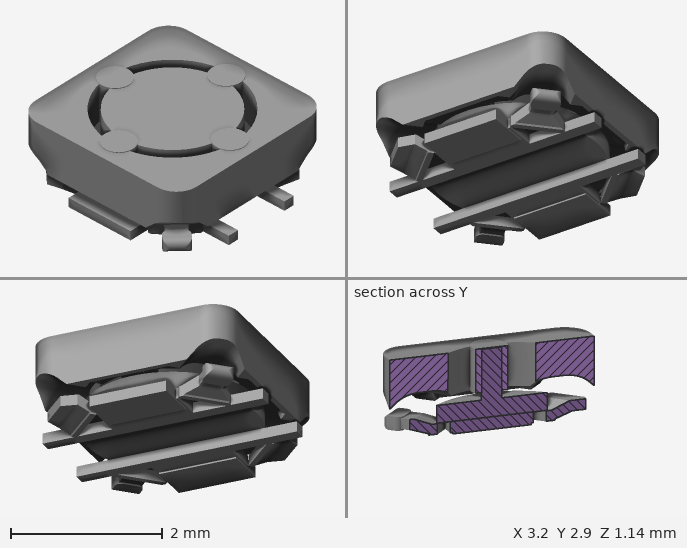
import cadquery as cq
import math

total_height = 1.14
cap_thickness = 0.01
body_top = total_height - cap_thickness
shield_bottom = 0.378
flange_top = 0.425
lead_thickness = 0.15
plate_bottom = 0.022
plate_top = plate_bottom + lead_thickness
arm_rise = 0.102

shield_width = 2.9
shield_corner_radius = 0.36
bore_radius = 1.12
pocket_ceiling = 0.525
pocket_sides = 8
pocket_flat_distance = 1.37

notch_half_width = 0.41
notch_top = 0.627
corner_angles = (45, 135, 225, 315)
notch_slope = math.radians(52)
notch_fillet_start = 0.505

core_radius = 0.947
flange_radius = 1.222

dot_radius = 0.253
dot_distance = 1.037
dot_angles = (0, 90, 180, 270)

bar_length = 3.2
bar_inner = 0.448
bar_outer = 0.627
pad_length = 1.117
pad_outer = 1.408
pad_inner = 0.795
web_half_length = 0.59
web_outer = 1.105
tab_corner_angle = 225
clip_corner_angle = 315
frame_angles = (0, 180)

arm_root = 1.203
bend_foot = 1.285
bend_head = 1.465
bend_top_inset = 0.025
bevel_run = 0.013
bevel_height = 0.022
tab_tip = 1.665
arm_half_width = 0.365
tab_tip_half_width = 0.243
clip_arm_outer = 1.14
clip_neck_half_width = 0.16
clip_inner = 1.585
clip_tip = 1.865
clip_half_width = 0.195
clip_thickness = 0.192
clip_bottom = 0.102
clip_corner_radius = 0.095


def cylinder(radius, bottom, top):
    return cq.Workplane("XY").workplane(offset=bottom).circle(radius).extrude(top - bottom)


def box(x_min, x_max, y_min, y_max, z_min, z_max):
    size = (x_max - x_min, y_max - y_min, z_max - z_min)
    return cq.Workplane("XY").box(*size, centered=False).translate((x_min, y_min, z_min))


def prism(points, bottom, top):
    return cq.Workplane("XY").workplane(offset=bottom).polyline(points).close().extrude(top - bottom)


def turned(body, angle):
    return body.rotate((0, 0, 0), (0, 0, 1), angle)


def make_corner_notch():
    """Arched channel along +X, later turned onto a corner diagonal."""
    flank_run = (notch_fillet_start - shield_bottom) / math.tan(notch_slope)
    shoulder = notch_half_width - flank_run
    arch_radius = (notch_top - notch_fillet_start) / (1 - math.cos(notch_slope))
    crown = shoulder - arch_radius * math.sin(notch_slope)
    arch_middle = notch_slope / 2
    middle_offset = crown + arch_radius * math.sin(arch_middle)
    middle_height = notch_top - arch_radius * (1 - math.cos(arch_middle))
    return (
        cq.Workplane("YZ")
        .moveTo(-notch_half_width, shield_bottom)
        .lineTo(-shoulder, notch_fillet_start)
        .threePointArc((-middle_offset, middle_height), (-crown, notch_top))
        .lineTo(crown, notch_top)
        .threePointArc((middle_offset, middle_height), (shoulder, notch_fillet_start))
        .lineTo(notch_half_width, shield_bottom)
        .close()
        .extrude(shield_width)
    )


def make_shield():
    block = (
        cq.Workplane("XY")
        .workplane(offset=shield_bottom)
        .rect(shield_width, shield_width)
        .extrude(body_top - shield_bottom)
        .edges("|Z")
        .fillet(shield_corner_radius)
    )
    pocket = (
        cq.Workplane("XY")
        .workplane(offset=shield_bottom)
        .polygon(pocket_sides, 2 * pocket_flat_distance, circumscribed=True)
        .extrude(pocket_ceiling - shield_bottom)
    )
    shield = block.cut(cylinder(bore_radius, shield_bottom, body_top)).cut(pocket)
    notch = make_corner_notch()
    for angle in corner_angles:
        shield = shield.cut(turned(notch, angle))
    return shield


def make_core():
    flange = cylinder(flange_radius, plate_top, flange_top)
    return flange.union(cylinder(core_radius, flange_top, body_top))


def make_glue_dot(angle):
    """Thin cap on the top faces, with a plug that fills the gap below it."""
    gap = cylinder(bore_radius, pocket_ceiling, body_top).cut(cylinder(core_radius, pocket_ceiling, body_top))
    plug = cylinder(dot_radius, pocket_ceiling, body_top).translate((dot_distance, 0, 0)).intersect(gap)
    cap = cylinder(dot_radius, body_top, total_height).translate((dot_distance, 0, 0))
    return turned(plug.union(cap), angle)


def bent_strip():
    """Wide strip along +X that steps up by the arm rise between the bend foot and head."""
    return (
        cq.Workplane("XZ")
        .polyline([
            (0, plate_bottom),
            (bend_foot, plate_bottom),
            (bend_foot + bevel_run, plate_bottom + bevel_height),
            (bend_head, plate_bottom + arm_rise),
            (clip_tip, plate_bottom + arm_rise),
            (clip_tip, plate_top + arm_rise),
            (bend_head - bend_top_inset, plate_top + arm_rise),
            (bend_foot - bend_top_inset, plate_top),
            (0, plate_top),
        ])
        .close()
        .extrude(bar_length / 2, both=True)
    )


def make_tab_arm():
    """Arm along +X with a wide tab whose tip corners are cut off."""
    outline = [
        (arm_root, -arm_half_width),
        (bend_head, -arm_half_width),
        (tab_tip, -tab_tip_half_width),
        (tab_tip, tab_tip_half_width),
        (bend_head, arm_half_width),
        (arm_root, arm_half_width),
    ]
    return bent_strip().intersect(prism(outline, 0, total_height))


def make_clip():
    """Rounded end along +X: round corners in plan and a full round at the tip."""
    length = clip_tip - clip_inner
    plan = (
        cq.Workplane("XY")
        .workplane(offset=clip_bottom)
        .center(clip_inner + length / 2, 0)
        .rect(length, 2 * clip_half_width)
        .extrude(clip_thickness)
        .edges("|Z")
        .fillet(clip_corner_radius)
    )
    tip_radius = clip_thickness / 2
    tip_start = clip_tip - tip_radius
    clip_top = clip_bottom + clip_thickness
    profile = (
        cq.Workplane("XZ")
        .moveTo(0, clip_bottom)
        .lineTo(tip_start, clip_bottom)
        .threePointArc((clip_tip, clip_bottom + tip_radius), (tip_start, clip_top))
        .lineTo(0, clip_top)
        .close()
        .extrude(clip_half_width, both=True)
    )
    return plan.intersect(profile)


def make_clip_arm():
    """Arm along +X that carries the clip on a narrow neck."""
    side_x = clip_arm_outer * math.sqrt(2)
    neck_start = side_x - clip_neck_half_width
    shoulder_x = side_x - arm_half_width
    clip_middle = (clip_inner + clip_tip) / 2
    outline = [
        (arm_root, -arm_half_width),
        (shoulder_x, -arm_half_width),
        (neck_start, -clip_neck_half_width),
        (clip_middle, -clip_neck_half_width),
        (clip_middle, clip_neck_half_width),
        (neck_start, clip_neck_half_width),
        (shoulder_x, arm_half_width),
        (arm_root, arm_half_width),
    ]
    return bent_strip().intersect(prism(outline, 0, total_height)).union(make_clip())


def make_lead_frame(angle):
    """Lead frame on the -Y side, turned about Z by the given angle."""
    bar = box(-bar_length / 2, bar_length / 2, -bar_outer, -bar_inner, plate_bottom, plate_top)
    web = box(-web_half_length, web_half_length, -web_outer, -bar_inner, plate_bottom, plate_top)
    pad = box(-pad_length / 2, pad_length / 2, -pad_outer, -pad_inner, 0, lead_thickness)
    tab_arm = turned(make_tab_arm(), tab_corner_angle)
    clip_arm = turned(make_clip_arm(), clip_corner_angle)
    frame = bar.union(web).union(pad).union(tab_arm).union(clip_arm)
    return turned(frame, angle)


shield = make_shield()
core = make_core()
glue_dots = [make_glue_dot(angle) for angle in dot_angles]
lead_frames = [make_lead_frame(angle) for angle in frame_angles]

result = cq.Compound.makeCompound(
    [shield.val(), core.val()]
    + [dot.val() for dot in glue_dots]
    + [frame.val() for frame in lead_frames]
)